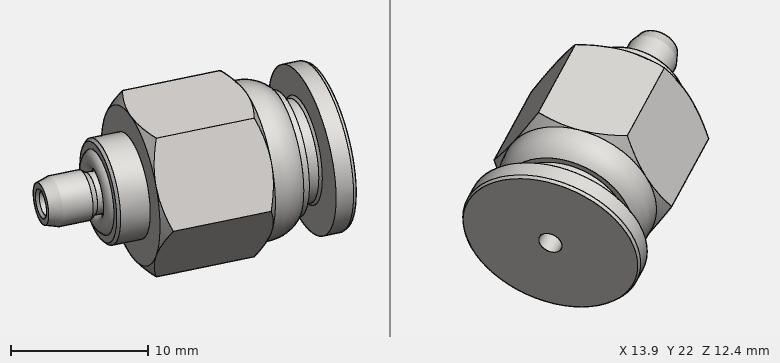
import cadquery as cq
import math

tip_taper_end = 1.01
barb_end = 3.35
neck_start = 3.8
collar_front = 4.47
hex_front = 7.0
hex_back = 16.0
dome_start = 16.45
dome_end = 18.52
step_end = 19.12
flange_front = 20.37
total_length = 22.0

bore_diameter = 1.8
neck_diameter = 3.2
barb_diameter = 3.8
collar_diameter = 8.0
sleeve_neck_diameter = 7.8
step_diameter = 9.5
body_diameter = 12.0

flange_width = 13.85
flange_height = 12.39
flange_bevel = 0.26
flange_bevel_inset = 0.13
root_bevel = 0.2

hex_chamfer_length = 0.68
collar_chamfer = 0.22
bore_chamfer = 0.22
seal_section_radius = 0.85
seal_crest = 4.0
dome_radius = 3.0

hex_corner_diameter = body_diameter / math.cos(math.pi / 6)


def cross_plane(y):
    """Plane at station y whose normal points along +Y, local x along +X."""
    return cq.Plane(origin=(0, y, 0), xDir=(1, 0, 0), normal=(0, 1, 0))


def cylinder(diameter, y_start, y_end):
    return cq.Workplane(cross_plane(y_start)).circle(diameter / 2).extrude(y_end - y_start)


def cone(start_diameter, end_diameter, y_start, y_end):
    profile = [(0, y_start), (start_diameter / 2, y_start), (end_diameter / 2, y_end), (0, y_end)]
    return cq.Workplane("XY").polyline(profile).close().revolve(360, (0, 0), (0, 1))


def make_barb():
    """Tapered hose barb on a slimmer neck that runs into the collar."""
    barb = cone(neck_diameter, barb_diameter, 0, tip_taper_end)
    barb = barb.union(cylinder(barb_diameter, tip_taper_end, barb_end))
    barb = barb.union(cone(barb_diameter, neck_diameter, barb_end, neck_start))
    return barb.union(cylinder(neck_diameter, neck_start, hex_front))


def make_collar():
    collar = cylinder(collar_diameter, collar_front, hex_front)
    return collar.faces("<Y").edges().chamfer(collar_chamfer)


def make_seal():
    """Sealing ring around the neck, partly sunk into the collar."""
    ring_radius = neck_diameter / 2 + seal_section_radius
    return (
        cq.Workplane("XY")
        .center(ring_radius, seal_crest + seal_section_radius)
        .circle(seal_section_radius)
        .revolve(360, (-ring_radius, 0), (-ring_radius, 1))
    )


def make_hex():
    """Hexagon with corners on X, both ends trimmed by cones."""
    length = hex_back - hex_front
    prism = cq.Workplane(cross_plane(hex_front)).polygon(6, hex_corner_diameter).extrude(length)
    front_shoulder = hex_front + hex_chamfer_length
    back_shoulder = hex_back - hex_chamfer_length
    envelope = cone(body_diameter, hex_corner_diameter, hex_front, front_shoulder)
    envelope = envelope.union(cylinder(hex_corner_diameter, front_shoulder, back_shoulder))
    envelope = envelope.union(cone(hex_corner_diameter, body_diameter, back_shoulder, hex_back))
    return prism.intersect(envelope)


def make_dome():
    """Plain band followed by a rounded shoulder tangent to it."""
    centre_radius = body_diameter / 2 - dome_radius

    def dome_point(y):
        return (centre_radius + math.sqrt(dome_radius**2 - (y - dome_start) ** 2), y)

    return (
        cq.Workplane("XY")
        .moveTo(0, hex_back)
        .lineTo(body_diameter / 2, hex_back)
        .lineTo(body_diameter / 2, dome_start)
        .threePointArc(dome_point((dome_start + dome_end) / 2), dome_point(dome_end))
        .lineTo(0, dome_end)
        .close()
        .revolve(360, (0, 0), (0, 1))
    )


def make_flange():
    flange = (
        cq.Workplane(cross_plane(flange_front))
        .ellipse(flange_width / 2, flange_height / 2)
        .extrude(total_length - flange_front)
    )
    return flange.faces(">Y").edges().chamfer(flange_bevel, flange_bevel_inset)


def make_release_sleeve():
    """Step and neck behind the dome, widening slightly where they meet the flange."""
    root_start = flange_front - root_bevel
    sleeve = cylinder(step_diameter, dome_end, step_end)
    sleeve = sleeve.union(cylinder(sleeve_neck_diameter, step_end, root_start))
    root_diameter = sleeve_neck_diameter + 2 * root_bevel
    sleeve = sleeve.union(cone(sleeve_neck_diameter, root_diameter, root_start, flange_front))
    return sleeve.union(make_flange())


def make_bore():
    """Through passage with a countersunk mouth at the barb tip."""
    mouth = cone(bore_diameter + 2 * bore_chamfer, bore_diameter, 0, bore_chamfer)
    return cylinder(bore_diameter, 0, total_length).union(mouth)


result = (
    make_barb()
    .union(make_collar())
    .union(make_seal())
    .union(make_hex())
    .union(make_dome())
    .union(make_release_sleeve())
    .cut(make_bore())
)